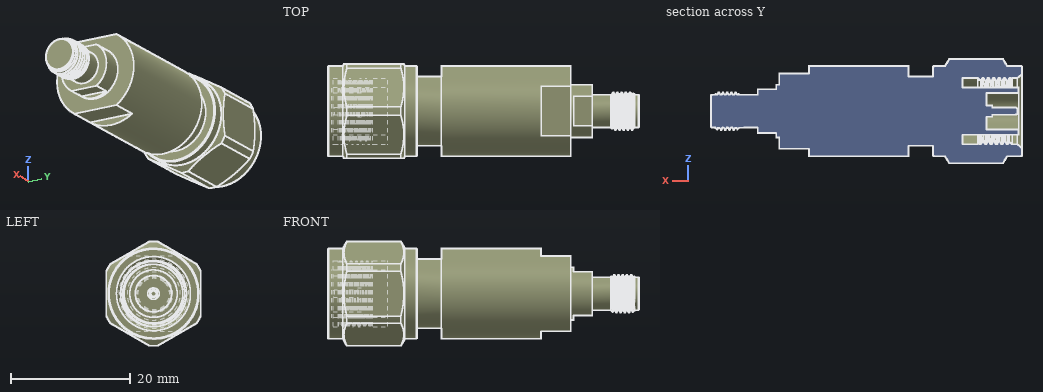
import cadquery as cq
import math


NUT_END = 15.0
HEX_START = 2.53
HEX_END = 12.95
BODY_START = 19.1
BODY_END = 40.83
COLLAR_END = 44.46
TOTAL_LENGTH = 52.32

NUT_DIA = 15.24
NECK_DIA = 11.68
BODY_DIA = 15.19
COLLAR_DIA = 8.89
END_DIA = 5.58

HEX_ACROSS_FLATS = 15.88
HEX_CORNER_DIA = 17.58
HEX_CHAMFER_ANGLE = 30.0
HEX_REAR_STEP = 0.06

BODY_FLAT_START = 35.82
BODY_ACROSS_FLATS = 12.7
COLLAR_FLAT_START = 41.32
COLLAR_ACROSS_FLATS = 7.4

EDGE_CHAMFER = 0.15

MOUTH_DIA = 12.45
MOUTH_TAPER_DEPTH = 0.8
NUT_BORE_DIA = 11.11
NUT_BORE_DEPTH = 10.0

SLEEVE_FACE = 0.6
SLEEVE_OUTER_DIA = 7.98
SLEEVE_BORE_DIA = 6.1
SLEEVE_FLOOR = 6.0
PIN_FACE = 0.8
PIN_DIA = 1.27
PIN_TIP_DIA = 0.94
PIN_TIP_LENGTH = 0.25
PIN_SHOULDER_DIA = 1.91
PIN_SHOULDER_LENGTH = 1.0

OUTER_THREAD_DIA = 6.35
OUTER_THREAD_PITCH = 25.4 / 36
OUTER_THREAD_START = 47.52
OUTER_THREAD_END = 51.6
OUTER_THREAD_CROSSING = 46.72

INNER_THREAD_DIA = 9.87
INNER_THREAD_PITCH = 25.4 / 28
INNER_THREAD_START = 1.7
INNER_THREAD_END = 7.5
INNER_THREAD_CROSSING = 0.7

THREAD_ROOT_SHARE = 0.84
THREAD_CREST_SHARE = 0.14
THREAD_OVERLAP = 0.05
THREAD_FADE_SLOPE = 1.15
ENVELOPE_CLEARANCE = 0.125


def cylinder(start, end, diameter):
    """Solid cylinder on the X axis between two stations."""
    return cq.Workplane("YZ").workplane(offset=start).circle(diameter / 2).extrude(end - start)


def revolved(points):
    """Solid of revolution about X from (x, radius) points."""
    return cq.Workplane("XY").polyline(points).close().revolve(360, (0, 0, 0), (1, 0, 0))


def flat_cutters(start, end, across_flats, diameter):
    """Two blocks that leave a pair of wrench flats facing +Z and -Z."""
    blocks = cq.Workplane("XY")
    for side in (1, -1):
        block = cq.Workplane("XY").box(end - start, diameter, diameter)
        middle = ((start + end) / 2, 0, side * (across_flats + diameter) / 2)
        blocks = blocks.add(block.translate(middle))
    return blocks.combine()


def helical_ridge(crossing, turns, pitch, root, crest):
    """Right-handed helical ridge on the X axis, starting on the +Z side, between two radii."""
    half_root = THREAD_ROOT_SHARE * pitch / 2
    half_crest = THREAD_CREST_SHARE * pitch / 2
    profile = [(root, -half_root), (crest, -half_crest), (crest, half_crest), (root, half_root)]
    path = cq.Wire.makeHelix(pitch, turns * pitch, root)
    ridge = cq.Workplane("XZ").polyline(profile).close().sweep(cq.Workplane(path), isFrenet=True)
    ridge = ridge.rotate((0, 0, 0), (0, 1, 0), 90).rotate((0, 0, 0), (1, 0, 0), 180)
    return ridge.translate((crossing, 0, 0))


def thread(start, end, crossing, pitch, root_dia, crest_dia):
    """Thread ridge between two stations, sunk slightly into its root and fading out at both ends."""
    outward = math.copysign(1, crest_dia - root_dia)
    root = root_dia / 2
    crest = crest_dia / 2
    turns = math.ceil((end - crossing) / pitch) + 1
    ridge = helical_ridge(crossing, turns, pitch, root - outward * THREAD_OVERLAP, crest)

    buried = root - outward * (THREAD_OVERLAP + ENVELOPE_CLEARANCE)
    top = crest + outward * ENVELOPE_CLEARANCE
    fade = abs(top - root) * THREAD_FADE_SLOPE
    envelope = revolved([
        (start, buried),
        (start, root),
        (start + fade, top),
        (end - fade, top),
        (end, root),
        (end, buried),
    ])
    return ridge.intersect(envelope)


def coupling_nut():
    ring = cylinder(0, NUT_END, NUT_DIA).edges().chamfer(EDGE_CHAMFER)
    hex_length = HEX_END - HEX_START
    hexagon = (
        cq.Workplane("YZ")
        .workplane(offset=HEX_START)
        .polygon(6, HEX_ACROSS_FLATS, circumscribed=True)
        .extrude(hex_length)
    )
    ring_radius = NUT_DIA / 2
    corner_radius = HEX_CORNER_DIA / 2
    taper = (corner_radius - ring_radius) * math.tan(math.radians(HEX_CHAMFER_ANGLE))
    envelope = revolved([
        (HEX_START, 0),
        (HEX_START, ring_radius),
        (HEX_START + taper, corner_radius),
        (HEX_END - taper, corner_radius),
        (HEX_END, ring_radius + HEX_REAR_STEP),
        (HEX_END, 0),
    ])
    cavity = revolved([
        (0, 0),
        (0, MOUTH_DIA / 2),
        (MOUTH_TAPER_DEPTH, NUT_BORE_DIA / 2),
        (NUT_BORE_DEPTH, NUT_BORE_DIA / 2),
        (NUT_BORE_DEPTH, 0),
    ])
    inner_thread = thread(
        INNER_THREAD_START,
        INNER_THREAD_END,
        INNER_THREAD_CROSSING,
        INNER_THREAD_PITCH,
        NUT_BORE_DIA,
        INNER_THREAD_DIA,
    )
    return ring.union(hexagon.intersect(envelope)).cut(cavity).union(inner_thread)


def male_contacts():
    """Sleeve and stepped centre pin standing in the nut cavity."""
    sleeve = cylinder(SLEEVE_FACE, NUT_BORE_DEPTH, SLEEVE_OUTER_DIA)
    sleeve = sleeve.cut(cylinder(SLEEVE_FACE, SLEEVE_FLOOR, SLEEVE_BORE_DIA))
    shoulder_start = SLEEVE_FLOOR - PIN_SHOULDER_LENGTH
    pin = revolved([
        (PIN_FACE, 0),
        (PIN_FACE, PIN_TIP_DIA / 2),
        (PIN_FACE + PIN_TIP_LENGTH, PIN_DIA / 2),
        (shoulder_start, PIN_DIA / 2),
        (shoulder_start, PIN_SHOULDER_DIA / 2),
        (SLEEVE_FLOOR, PIN_SHOULDER_DIA / 2),
        (SLEEVE_FLOOR, 0),
    ])
    return sleeve.union(pin)


def main_body():
    neck = cylinder(NUT_END, BODY_START, NECK_DIA)
    body = cylinder(BODY_START, BODY_END, BODY_DIA)
    body = body.cut(flat_cutters(BODY_FLAT_START, BODY_END, BODY_ACROSS_FLATS, BODY_DIA))
    collar = cylinder(BODY_END, COLLAR_END, COLLAR_DIA)
    collar = collar.cut(flat_cutters(COLLAR_FLAT_START, COLLAR_END, COLLAR_ACROSS_FLATS, COLLAR_DIA))
    return neck.union(body).union(collar)


def female_end():
    barrel = cylinder(COLLAR_END, TOTAL_LENGTH, END_DIA).faces(">X").edges().chamfer(EDGE_CHAMFER)
    outer_thread = thread(
        OUTER_THREAD_START,
        OUTER_THREAD_END,
        OUTER_THREAD_CROSSING,
        OUTER_THREAD_PITCH,
        END_DIA,
        OUTER_THREAD_DIA,
    )
    return barrel.union(outer_thread)


result = coupling_nut().union(male_contacts()).union(main_body()).union(female_end())